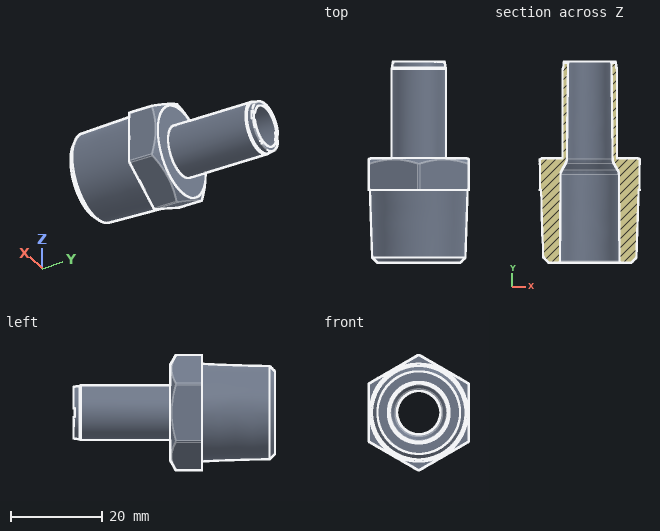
import cadquery as cq
import math

total_length = 44.2
thread_length = 16.0
hex_length = 7.0
hex_across_flats = 22.0
hex_corner_fillet = 0.5
hex_bevel_end_radius = 10.5
hex_bevel_angle = 30.0
hex_bevel_fillet = 0.18

thread_base_radius = 10.75
thread_end_radius = 10.25
thread_chamfer_length = 1.2
thread_mouth_radius = 9.05

stem_radius = 6.0
relief_start = 1.65
relief_end = 1.35
relief_radius = 5.9
tip_radius = 5.7
tip_fillet = 0.18
slot_width = 1.9
slot_depth = 0.25

counterbore_mouth_radius = 6.5
counterbore_inner_radius = 6.35
counterbore_chamfer = 0.25
counterbore_chamfer_fillet = 0.35
counterbore_depth = 19.9
cone_half_angle = 30.0
cone_fillet = 2.0
hole_start_radius = 5.0
hole_tip_radius = 4.75

hex_start = thread_length
hex_end = hex_start + hex_length


def revolve_profile(points):
    """Revolve a closed outline of (radius, y) points about the Y axis."""
    return cq.Workplane("XY").polyline(points).close().revolve(360, (0, 0, 0), (0, 1, 0))


def circles_between(y_first, y_last):
    """Selector for the circular edges of the bore centred from y_first to y_last."""
    margin = counterbore_chamfer / 4
    return cq.selectors.BoxSelector(
        (-stem_radius, y_first - margin, -stem_radius),
        (stem_radius, y_last + margin, stem_radius),
    )


def make_thread():
    """Tapered thread blank with a chamfered mouth."""
    return revolve_profile([
        (0, 0),
        (thread_mouth_radius, 0),
        (thread_end_radius, thread_chamfer_length),
        (thread_base_radius, hex_start),
        (0, hex_start),
    ])


def make_hexagon():
    """Hexagon with flats facing +-X, rounded corners and a conical bevel on the stem side."""
    corner_radius = hex_across_flats / 2 / math.cos(math.pi / 6)
    prism = (
        cq.Workplane("XZ", origin=(0, hex_end, 0))
        .transformed(rotate=(0, 0, 90))
        .polygon(6, 2 * corner_radius)
        .extrude(hex_length)
        .edges("|Y")
        .fillet(hex_corner_fillet)
    )
    bevel_length = (corner_radius - hex_bevel_end_radius) * math.tan(math.radians(hex_bevel_angle))
    envelope = revolve_profile([
        (0, hex_start),
        (corner_radius, hex_start),
        (corner_radius, hex_end - bevel_length),
        (hex_bevel_end_radius, hex_end),
        (0, hex_end),
    ])
    bevelled = prism.intersect(envelope)
    return bevelled.faces("%CONE").edges("not(%CIRCLE or %LINE)").fillet(hex_bevel_fillet)


def make_stem():
    """Stem with a small relief step and a rounded, tapered tip."""
    stem = revolve_profile([
        (0, hex_end),
        (stem_radius, hex_end),
        (stem_radius, total_length - relief_start),
        (relief_radius, total_length - relief_end),
        (tip_radius, total_length),
        (0, total_length),
    ])
    return stem.faces(">Y").edges().fillet(tip_fillet)


def make_bore():
    """Bore as a solid to cut, rounded where its cone and mouth chamfer begin and end."""
    cone_length = (counterbore_inner_radius - hole_start_radius) / math.tan(math.radians(cone_half_angle))
    hole_start = counterbore_depth + cone_length
    bore = revolve_profile([
        (0, 0),
        (counterbore_mouth_radius + counterbore_chamfer, 0),
        (counterbore_mouth_radius, counterbore_chamfer),
        (counterbore_inner_radius, counterbore_depth),
        (hole_start_radius, hole_start),
        (hole_tip_radius, total_length),
        (0, total_length),
    ])
    bore = bore.edges(circles_between(counterbore_depth, hole_start)).fillet(cone_fillet)
    chamfer_edge = circles_between(counterbore_chamfer, counterbore_chamfer)
    return bore.edges(chamfer_edge).fillet(counterbore_chamfer_fillet)


def make_tip_slot():
    """Shallow slot across the stem tip along X."""
    return (
        cq.Workplane("XY")
        .box(2 * stem_radius, 2 * slot_depth, slot_width)
        .translate((0, total_length, 0))
    )


body = make_thread().union(make_hexagon()).union(make_stem())
result = body.cut(make_bore()).cut(make_tip_slot())